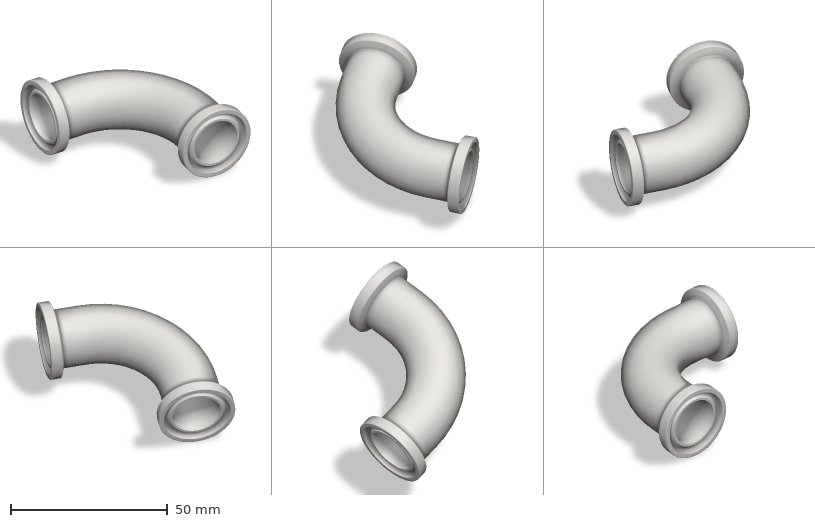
import cadquery as cq
import math

overall_length = 53.75
flange_diameter = 25.0
tube_diameter = 19.05
bore_diameter = 15.75

ferrule_length = 12.65
rim_thickness = 3.6
flange_back_angle = 20.0
rim_fillet = 0.3
neck_fillet = 0.6

groove_outer_diameter = 21.9
cone_outer_diameter = 19.05
lip_diameter = 17.25
lip_recess = 0.75
cone_angle = 50.0

flange_radius = flange_diameter / 2
tube_radius = tube_diameter / 2
bore_radius = bore_diameter / 2
leg_length = overall_length - flange_radius
bend_radius = leg_length - ferrule_length


def revolve_about_y(profile):
    return profile.close().revolve(360, (0, 0, 0), (0, 1, 0))


def ferrule_blank():
    """Ferrule without its groove: sealing face at Y = 0, tube along +Y."""
    taper_length = (flange_radius - tube_radius) * math.tan(math.radians(flange_back_angle))
    profile = (
        cq.Workplane("XY")
        .moveTo(bore_radius, 0)
        .lineTo(flange_radius, 0)
        .lineTo(flange_radius, rim_thickness)
        .lineTo(tube_radius, rim_thickness + taper_length)
        .lineTo(tube_radius, ferrule_length)
        .lineTo(bore_radius, ferrule_length)
    )
    largest = cq.selectors.RadiusNthSelector(-1)
    smallest = cq.selectors.RadiusNthSelector(0)
    blank = revolve_about_y(profile)
    blank = blank.faces("%CONE").edges("%CIRCLE").edges(smallest).fillet(neck_fillet)
    return blank.edges("%CIRCLE").edges(largest).fillet(rim_fillet)


def gasket_groove():
    """Ring cut out of the sealing face, including the clearance above the lip."""
    groove_radius = groove_outer_diameter / 2
    cone_radius = cone_outer_diameter / 2
    lip_radius = lip_diameter / 2
    slope = math.radians(cone_angle)
    bottom_radius = (groove_radius - cone_radius) / (1 + math.sin(slope))
    cone_depth = lip_recess + (cone_radius - lip_radius) * math.tan(slope)
    wall_depth = cone_depth - bottom_radius * math.cos(slope)
    bottom_point = (groove_radius - bottom_radius, wall_depth + bottom_radius)
    profile = (
        cq.Workplane("XY")
        .lineTo(groove_radius, 0)
        .lineTo(groove_radius, wall_depth)
        .threePointArc(bottom_point, (cone_radius, cone_depth))
        .lineTo(lip_radius, lip_recess)
        .lineTo(0, lip_recess)
    )
    return revolve_about_y(profile)


def bend():
    """Quarter turn of tube joining the two ferrules."""
    return (
        cq.Workplane("XZ", origin=(0, -bend_radius, 0))
        .circle(tube_radius)
        .circle(bore_radius)
        .revolve(90, (bend_radius, 0, 0), (bend_radius, -1, 0))
    )


ferrule = ferrule_blank().cut(gasket_groove())
front_ferrule = ferrule.translate((0, -leg_length, 0))
side_ferrule = front_ferrule.rotate((0, 0, 0), (0, 0, 1), 90)
result = bend().union(front_ferrule).union(side_ferrule)